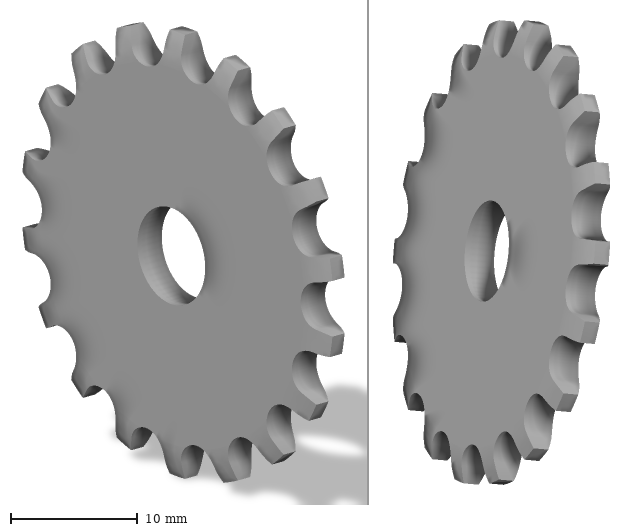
import cadquery as cq
import math

tooth_count = 18
tip_radius = 18.45
thickness = 2.6
bore_diameter = 8.0

pitch_radius = 17.27
seat_radius = 2.0
flank_radius = 9.6
bevel_start_radius = 15.6
tip_thickness = 1.3

half_pitch_angle = math.pi / tooth_count
half_thickness = thickness / 2
half_tip = tip_thickness / 2


def polar(radius, angle):
    """Point at a radius, with the angle measured from +Z towards +X."""
    return (radius * math.sin(angle), radius * math.cos(angle))


def rotated(point, angle):
    """Point turned about the origin from +Z towards +X."""
    x, z = point
    return (
        x * math.cos(angle) + z * math.sin(angle),
        z * math.cos(angle) - x * math.sin(angle),
    )


def toothed_plate():
    """Flat plate with concave seats that run smoothly into convex tooth flanks."""
    seat_x, seat_z = polar(pitch_radius, half_pitch_angle)
    tooth_half_width = seat_x - seat_radius
    seat_bottom = polar(pitch_radius - seat_radius, half_pitch_angle)

    flank_x = tooth_half_width - flank_radius
    flank_distance = math.hypot(flank_x, seat_z)
    corner_offset = math.acos(
        (tip_radius**2 + flank_distance**2 - flank_radius**2) / (2 * tip_radius * flank_distance)
    )
    corner_angle = math.atan2(flank_x, seat_z) + corner_offset
    corner_z = polar(tip_radius, corner_angle)[1]
    flank_middle_turn = math.asin((corner_z - seat_z) / flank_radius) / 2
    flank_middle_x = flank_x + flank_radius * math.cos(flank_middle_turn)
    flank_middle_z = seat_z + flank_radius * math.sin(flank_middle_turn)

    outline = cq.Workplane("XZ").moveTo(*polar(tip_radius, -corner_angle))
    for index in range(tooth_count):
        tooth = 2 * half_pitch_angle * index
        next_tooth = tooth + 2 * half_pitch_angle
        outline = (
            outline.threePointArc(polar(tip_radius, tooth), polar(tip_radius, tooth + corner_angle))
            .threePointArc(
                rotated((flank_middle_x, flank_middle_z), tooth),
                rotated((tooth_half_width, seat_z), tooth),
            )
            .threePointArc(
                rotated(seat_bottom, tooth),
                rotated((-tooth_half_width, seat_z), next_tooth),
            )
            .threePointArc(
                rotated((-flank_middle_x, flank_middle_z), next_tooth),
                polar(tip_radius, next_tooth - corner_angle),
            )
        )
    return outline.close().extrude(half_thickness, both=True)


def bevelled_disc():
    """Disc whose rim curves in on both sides, tangent to the flat faces."""
    bevel_length = tip_radius - bevel_start_radius
    bevel_depth = half_thickness - half_tip
    bevel_radius = (bevel_length**2 + bevel_depth**2) / (2 * bevel_depth)
    middle_angle = math.asin(bevel_length / bevel_radius) / 2
    middle_r = bevel_start_radius + bevel_radius * math.sin(middle_angle)
    middle_y = half_thickness - bevel_radius * (1 - math.cos(middle_angle))

    return (
        cq.Workplane("XY")
        .moveTo(0, -half_thickness)
        .lineTo(bevel_start_radius, -half_thickness)
        .threePointArc((middle_r, -middle_y), (tip_radius, -half_tip))
        .lineTo(tip_radius, half_tip)
        .threePointArc((middle_r, middle_y), (bevel_start_radius, half_thickness))
        .lineTo(0, half_thickness)
        .close()
        .revolve(360, (0, 0, 0), (0, 1, 0))
    )


bore = cq.Workplane("XZ").circle(bore_diameter / 2).extrude(thickness, both=True)

result = toothed_plate().intersect(bevelled_disc()).cut(bore)